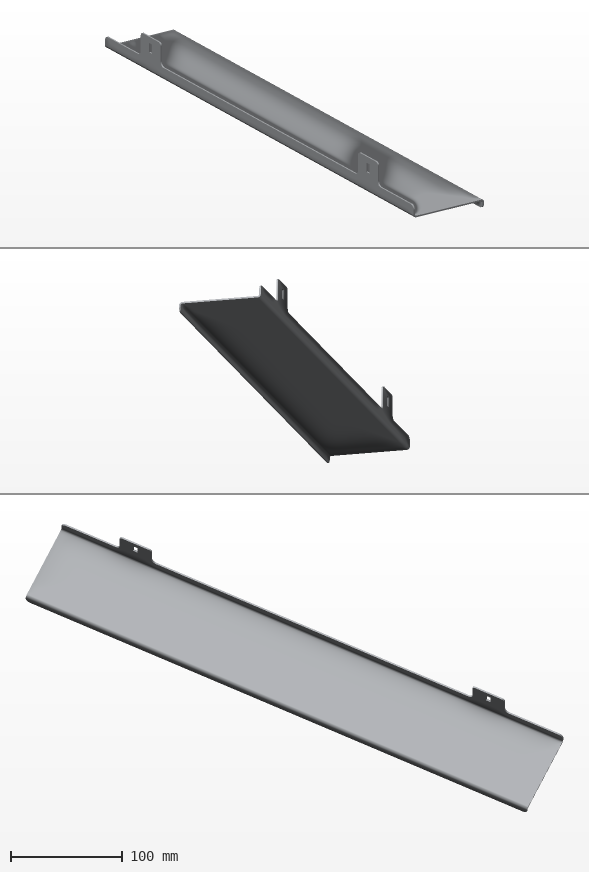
import cadquery as cq

length = 497.0
depth = 76.0
height = 41.5

thickness = 1.5
inner_bend = 1.5
outer_bend = inner_bend + thickness
shelf_top = 9.0
shelf_bottom = shelf_top - thickness
wall_top = 19.5
flange_corner_radius = 4.5

tab_offset = 175.0
tab_width = 32.0
tab_corner_radius = 3.0
tab_root_radius = 4.5
slot_width = 4.5
slot_height = 9.0
slot_below_top = 10.5

front = -depth / 2
back = depth / 2


def bent_sheet():
    """Shelf with a front wall bent up and a back lip bent down."""
    profile = (
        cq.Workplane("YZ", origin=(-length / 2, 0, 0))
        .moveTo(front, height)
        .lineTo(front, shelf_bottom + outer_bend)
        .radiusArc((front + outer_bend, shelf_bottom), -outer_bend)
        .lineTo(back - outer_bend, shelf_bottom)
        .radiusArc((back - thickness, shelf_top - outer_bend), inner_bend)
        .lineTo(back - thickness, 0)
        .lineTo(back, 0)
        .lineTo(back, shelf_top - outer_bend)
        .radiusArc((back - outer_bend, shelf_top), -outer_bend)
        .lineTo(front + outer_bend, shelf_top)
        .radiusArc((front + thickness, shelf_bottom + outer_bend), inner_bend)
        .lineTo(front + thickness, height)
        .close()
    )
    return profile.extrude(length)


def block(width, bottom, top, center_x=0.0):
    """Block reaching through the full depth of the part."""
    return cq.Workplane("XY", origin=(center_x, 0, bottom)).rect(width, depth).extrude(top - bottom)


def face_outline():
    """Solid with the X-Z outline of the wall, its tabs and the lip."""
    body = block(length, 0, wall_top).edges("|Y").fillet(flange_corner_radius)
    for side in (-1, 1):
        body = body.union(block(tab_width, shelf_top, height, side * tab_offset))
    body = body.edges("|Y and >Z").fillet(tab_corner_radius)
    for side in (-1, 1):
        for edge_side in (-1, 1):
            root = (side * tab_offset + edge_side * tab_width / 2, 0, wall_top)
            body = body.edges(cq.selectors.NearestToPointSelector(root)).fillet(tab_root_radius)
    return body


def tab_slots():
    """Upright rectangular slots through the two tabs."""
    middle = height - slot_below_top
    bottom = middle - slot_height / 2
    top = middle + slot_height / 2
    left_slot = block(slot_width, bottom, top, -tab_offset)
    return left_slot.union(block(slot_width, bottom, top, tab_offset))


result = bent_sheet().intersect(face_outline()).cut(tab_slots())